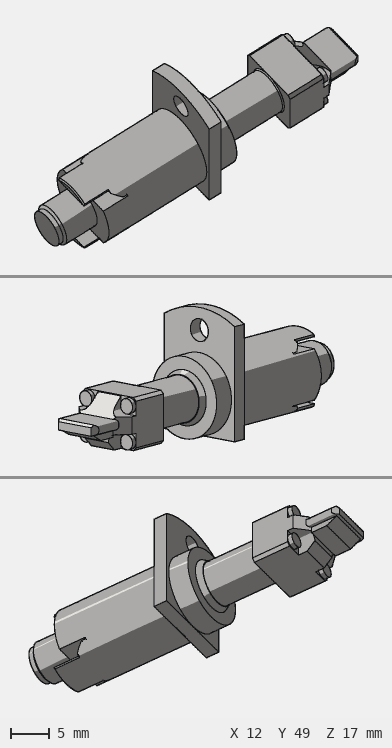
import cadquery as cq
import math


length = 49.0
pin_nose_length = 0.7
pin_shoulder_y = 1.0
finger_tip_y = 4.0
land_front_y = 6.0
finger_root_y = 8.05
ramp_end_y = 9.35
slit_end_y = 10.0
flange_front_y = 22.05
flange_thickness = 1.95
body_end_y = 27.0
collar_end_y = 27.85
block_front_y = 36.5
block_back_y = 42.05
peg_end_y = 42.75
plug_end_y = 44.6

body_radius = 5.5
pin_radius = 3.0
pin_nose_radius = 2.6
shaft_radius = 3.15
shaft_flare_radius = 3.3
shaft_flare_length = 0.2
collar_base_radius = 3.7
collar_top_radius = 3.25

finger_inner_z = 4.45
finger_half_width = 2.7
finger_bevel_radial = 0.3
finger_bevel_axial = 0.15
slit_outer_z = 3.6
land_half_height = 3.45

flange_width = 12.0
flange_top_radius = 11.5
flange_bottom_z = -5.55
flange_hole_z = 8.5
flange_hole_diameter = 3.05

block_width = 9.0
block_height = 7.1
block_center_z = -0.25
block_chamfer = 0.45
plug_bottom_chamfer = 1.22
plug_corner_chamfer = 1.7
notch_inner_x = 1.95
notch_inner_height = 1.2
notch_fillet = 1.22
peg_radius = 1.05

tongue_half_width = 3.35
tongue_edge_radius = 0.55
tongue_top_z = 0.65
tongue_bottom_z = -0.85
tongue_root_depth = 0.5
tongue_tip_bevel = 0.35
tongue_corner_x = 0.55
tongue_corner_y = 0.9
rib_bottom_z = -1.75
rib_half_width = 2.75
rib_slope_start_y = 48.55
rib_slope_end_y = 47.0


def box(x_min, x_max, y_min, y_max, z_min, z_max):
    """Axis-aligned box given by its limits."""
    size = (x_max - x_min, y_max - y_min, z_max - z_min)
    return cq.Workplane("XY").box(*size, centered=False).translate((x_min, y_min, z_min))


def cross_section(y):
    """Workplane across the axis: local x is X, local y is Z, extrusion runs toward +Y."""
    return cq.Workplane(cq.Plane(origin=(0, y, 0), xDir=(1, 0, 0), normal=(0, -1, 0)))


def side_prism(points, half_width):
    """Prism with a (Y, Z) outline, symmetric about X = 0."""
    return cq.Workplane("YZ").polyline(points).close().extrude(half_width, both=True)


def mirrored_pair(solid):
    """The solid together with its mirror image below the turned axis."""
    return solid.union(solid.mirror("XY"))


def turned_core():
    """Shaft, collar, body and front pin, revolved about Y."""
    profile = [
        (0, 0),
        (pin_nose_radius, 0),
        (pin_nose_radius, pin_nose_length),
        (pin_radius, pin_shoulder_y),
        (pin_radius, finger_tip_y),
        (body_radius - finger_bevel_radial, finger_tip_y),
        (body_radius, finger_tip_y + finger_bevel_axial),
        (body_radius, body_end_y),
        (collar_base_radius, body_end_y),
        (collar_top_radius, collar_end_y),
        (shaft_radius, collar_end_y),
        (shaft_radius, block_front_y - shaft_flare_length),
        (shaft_flare_radius, block_front_y),
        (0, block_front_y),
    ]
    return cq.Workplane("XY").polyline(profile).close().revolve(360, (0, 0, 0), (0, 1, 0))


def finger_gaps():
    """Material removed around the fingers, the side lands and the pin."""
    reach = 2 * body_radius
    ramp_gap = side_prism(
        [
            (0, land_half_height),
            (0, finger_inner_z),
            (finger_root_y, finger_inner_z),
            (ramp_end_y, slit_outer_z),
            (slit_end_y, slit_outer_z),
            (slit_end_y, land_half_height),
        ],
        reach,
    )
    gaps = mirrored_pair(ramp_gap)
    for x_min, x_max in ((-reach, -finger_half_width), (finger_half_width, reach)):
        side_gap = box(x_min, x_max, 0, finger_root_y, land_half_height, reach)
        gaps = gaps.union(mirrored_pair(side_gap))
    front_gap = box(-reach, reach, 0, land_front_y, -finger_inner_z, finger_inner_z)
    pin_core = cross_section(0).circle(pin_radius).extrude(-land_front_y)
    return gaps.union(front_gap.cut(pin_core))


def flange():
    """Upright plate with a top arc concentric with the body and one hole."""
    half_width = flange_width / 2
    shoulder_z = math.sqrt(flange_top_radius**2 - half_width**2)
    plate = (
        cross_section(flange_front_y)
        .moveTo(-half_width, flange_bottom_z)
        .lineTo(half_width, flange_bottom_z)
        .lineTo(half_width, shoulder_z)
        .threePointArc((0, flange_top_radius), (-half_width, shoulder_z))
        .close()
        .extrude(-flange_thickness)
    )
    hole = (
        cross_section(flange_front_y)
        .center(0, flange_hole_z)
        .circle(flange_hole_diameter / 2)
        .extrude(-flange_thickness)
    )
    return plate.cut(hole)


def block():
    """Rectangular block with its long edges chamfered."""
    return (
        cross_section(block_front_y)
        .center(0, block_center_z)
        .rect(block_width, block_height)
        .extrude(block_front_y - block_back_y)
        .edges("|Y")
        .chamfer(block_chamfer)
    )


def plug():
    """Cross-shaped plug behind the block, with a short peg in each of its four notches."""
    half_width = block_width / 2
    half_height = block_height / 2
    top_z = block_center_z + half_height
    bottom_z = block_center_z - half_height
    slope_rise = plug_end_y - block_back_y
    body = side_prism(
        [
            (block_back_y, bottom_z),
            (block_back_y, tongue_top_z + slope_rise),
            (plug_end_y, tongue_top_z),
            (plug_end_y, bottom_z + plug_bottom_chamfer),
            (plug_end_y - plug_bottom_chamfer, bottom_z),
        ],
        half_width,
    )
    body = body.intersect(
        box(-half_width, half_width, block_back_y, plug_end_y, bottom_z, top_z)
        .edges("|Z and >Y")
        .chamfer(plug_corner_chamfer)
    )
    peg_x = half_width - peg_radius
    peg_offset_z = notch_inner_height + notch_fillet
    notch_depth = block_back_y - plug_end_y
    peg_depth = block_back_y - peg_end_y
    for x_side in (-1, 1):
        for z_side in (-1, 1):
            corner = cross_section(block_back_y).center(0, block_center_z)
            notch = (
                corner.moveTo(x_side * notch_inner_x, z_side * block_height)
                .lineTo(x_side * notch_inner_x, z_side * peg_offset_z)
                .radiusArc(
                    (x_side * (notch_inner_x + notch_fillet), z_side * notch_inner_height),
                    -x_side * z_side * notch_fillet,
                )
                .lineTo(x_side * block_width, z_side * notch_inner_height)
                .lineTo(x_side * block_width, z_side * block_height)
                .close()
                .extrude(notch_depth)
            )
            peg = (
                cross_section(block_back_y)
                .center(x_side * peg_x, block_center_z + z_side * peg_offset_z)
                .circle(peg_radius)
                .extrude(peg_depth)
            )
            body = body.cut(notch).union(peg)
    return body


def tongue():
    """Flat tongue with rounded sides and a beveled tip, stiffened by a sloped rib below."""
    start_y = plug_end_y - tongue_root_depth
    blade = box(
        -tongue_half_width, tongue_half_width, start_y, length, tongue_bottom_z, tongue_top_z
    )
    blade = blade.edges("|Y").fillet(tongue_edge_radius)
    tip_x = tongue_half_width - tongue_corner_x
    corner_y = length - tongue_corner_y
    plan = [
        (-tongue_half_width, start_y),
        (-tongue_half_width, corner_y),
        (-tip_x, length),
        (tip_x, length),
        (tongue_half_width, corner_y),
        (tongue_half_width, start_y),
    ]
    plan_prism = cq.Workplane("XY").polyline(plan).close().extrude(block_height, both=True)
    tip_prism = side_prism(
        [
            (start_y, tongue_bottom_z),
            (start_y, tongue_top_z),
            (length - tongue_tip_bevel, tongue_top_z),
            (length, tongue_top_z - tongue_tip_bevel),
            (length, tongue_bottom_z),
        ],
        tongue_half_width,
    )
    rib = side_prism(
        [
            (plug_end_y, tongue_bottom_z),
            (rib_slope_start_y, tongue_bottom_z),
            (rib_slope_end_y, rib_bottom_z),
            (plug_end_y, rib_bottom_z),
        ],
        rib_half_width,
    )
    return blade.intersect(plan_prism).intersect(tip_prism).union(rib)


result = turned_core().cut(finger_gaps()).union(flange()).union(block()).union(plug()).union(tongue())